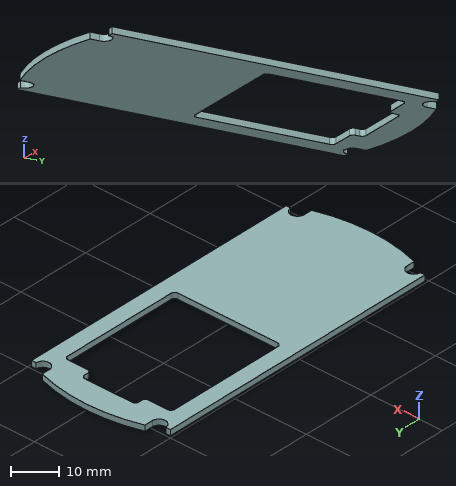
import cadquery as cq

length = 88.0
width = 39.0
thickness = 1.6
shoulder_length = 78.85

notch_radius = 1.85
notch_center_x = 16.3
cap_half_width = notch_center_x - notch_radius
cap_rise = 2.3

window_width = 29.9
window_bottom = 0.2
window_top = 34.1
tab_width = 15.1
tab_top = 37.05
window_corner_radius = 1.0

half_length = length / 2
cap_corner_y = half_length - cap_rise


def plate_blank():
    """Rectangular plate with a bowed cap at each end."""
    plate = cq.Workplane("XY").rect(width, shoulder_length).extrude(thickness)
    caps = (
        cq.Workplane("XY")
        .moveTo(-cap_half_width, -cap_corner_y)
        .lineTo(-cap_half_width, cap_corner_y)
        .threePointArc((0, half_length), (cap_half_width, cap_corner_y))
        .lineTo(cap_half_width, -cap_corner_y)
        .threePointArc((0, -half_length), (-cap_half_width, -cap_corner_y))
        .close()
        .extrude(thickness)
    )
    return plate.union(caps)


def corner_notches():
    """Round cutters centred on the shoulder lines, tangent to the cap sides."""
    return (
        cq.Workplane("XY")
        .rect(2 * notch_center_x, shoulder_length, forConstruction=True)
        .vertices()
        .circle(notch_radius)
        .extrude(thickness)
    )


def window():
    """Through opening with a narrower tab at its top and rounded corners."""
    half_window = window_width / 2
    half_tab = tab_width / 2
    return (
        cq.Workplane("XY")
        .polyline([
            (-half_window, window_bottom),
            (half_window, window_bottom),
            (half_window, window_top),
            (half_tab, window_top),
            (half_tab, tab_top),
            (-half_tab, tab_top),
            (-half_tab, window_top),
            (-half_window, window_top),
        ])
        .close()
        .extrude(thickness)
        .edges("|Z")
        .fillet(window_corner_radius)
    )


result = plate_blank().cut(corner_notches()).cut(window())